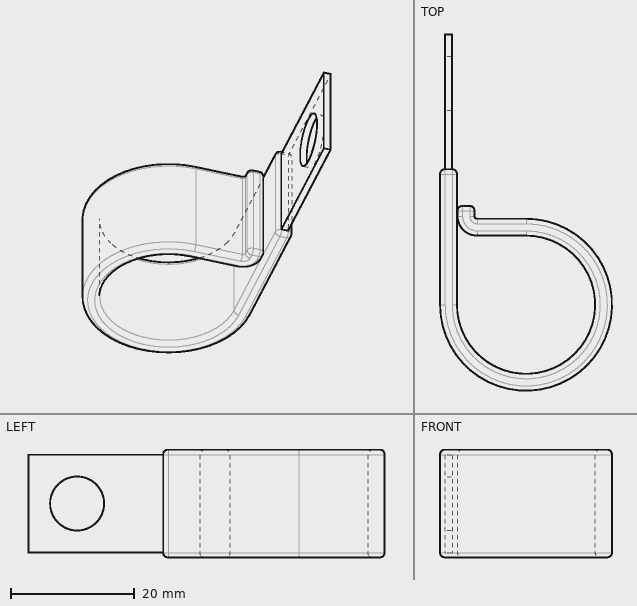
import cadquery as cq
import math

overall_width = 27.8
overall_length = 57.5
cushion_height = 17.4

cushion_thickness = 2.75
edge_radius = 0.8
bare_tab_length = 21.75

hook_gap = 0.05
hook_inner_radius = 0.4
hook_end_length = 1.65

hole_diameter = 8.7
hole_from_tab_end = 7.9

outer_radius = overall_width / 2
inner_radius = outer_radius - cushion_thickness
tab_end = overall_length - outer_radius
cushion_end = tab_end - bare_tab_length
strap_thickness = cushion_thickness - 2 * edge_radius
strap_height = cushion_height - 2 * edge_radius
strap_x = -(outer_radius + inner_radius) / 2

hook_outer_radius = hook_inner_radius + cushion_thickness
hook_left = -inner_radius + hook_gap
hook_right = hook_left + cushion_thickness
bend_x = hook_left + hook_outer_radius
bend_y = outer_radius + hook_inner_radius
hook_end = bend_y + hook_end_length
hook_end_center = ((hook_left + hook_right) / 2, hook_end, 0)


def diagonal_point(center_x, center_y, radius, x_side, y_side):
    """Point on a circle halfway through the chosen quadrant."""
    offset = radius * math.sqrt(0.5)
    return center_x + x_side * offset, center_y + y_side * offset


def make_cushion():
    """P-shaped band: straight leg, three-quarter loop and hooked end, rounded all over."""
    band = (
        cq.Workplane("XY")
        .workplane(offset=-cushion_height / 2)
        .moveTo(-outer_radius, cushion_end)
        .lineTo(-outer_radius, 0)
        .threePointArc(diagonal_point(0, 0, outer_radius, 1, -1), (0, outer_radius))
        .lineTo(bend_x, outer_radius)
        .threePointArc(
            diagonal_point(bend_x, bend_y, hook_inner_radius, -1, -1),
            (hook_right, bend_y),
        )
        .lineTo(hook_right, hook_end)
        .lineTo(hook_left, hook_end)
        .lineTo(hook_left, bend_y)
        .threePointArc(
            diagonal_point(bend_x, bend_y, hook_outer_radius, -1, -1),
            (bend_x, inner_radius),
        )
        .lineTo(0, inner_radius)
        .threePointArc(diagonal_point(0, 0, inner_radius, 1, -1), (-inner_radius, 0))
        .lineTo(-inner_radius, cushion_end)
        .close()
        .extrude(cushion_height)
    )
    rim_edges = band.faces("|Z").edges()
    leg_end_edges = band.faces(">Y").edges()
    hook_end_edges = band.faces(cq.selectors.NearestToPointSelector(hook_end_center)).edges()
    return rim_edges.add(leg_end_edges).add(hook_end_edges).fillet(edge_radius)


def make_tab():
    """Bare strap with its mounting hole, starting inside the straight leg."""
    strap = cq.Workplane("XY").box(
        strap_thickness, tab_end, strap_height, centered=(True, False, True)
    ).translate((strap_x, 0, 0))
    hole = (
        cq.Workplane("YZ")
        .center(tab_end - hole_from_tab_end, 0)
        .circle(hole_diameter / 2)
        .extrude(overall_width, both=True)
    )
    return strap.cut(hole)


result = make_cushion().union(make_tab())